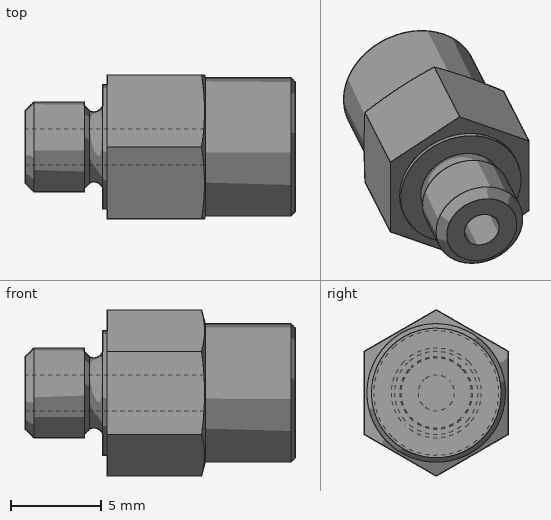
import cadquery as cq
import math

stub_diameter = 5.0
stub_length = 3.28
stub_chamfer = 0.48

undercut_radius = 0.5
undercut_floor_diameter = 3.9
undercut_floor_to_collar = 0.48
undercut_cone_length = 0.3

collar_diameter = 6.93
collar_length = 0.25
hex_start = 4.55
hex_end = 10.0
hex_across_flats = 8.0
hex_chamfer_angle = math.radians(15)

barrel_diameter = 7.7
overall_length = 15.0
barrel_chamfer = 0.25

bore_diameter = 2.0
bore_depth = hex_end

hex_corner_radius = hex_across_flats / math.sqrt(3)
collar_start = hex_start - collar_length


def cylinder_along_x(start, end, diameter):
    return cq.Workplane("YZ", origin=(start, 0, 0)).circle(diameter / 2).extrude(end - start)


def make_stub():
    """Chamfered stub, undercut and collar, revolved about X."""
    stub_radius = stub_diameter / 2
    collar_radius = collar_diameter / 2
    arc_center_x = collar_start - undercut_floor_to_collar
    arc_floor_radius = undercut_floor_diameter / 2
    arc_center_radius = arc_floor_radius + undercut_radius
    arc_start_x = stub_length + undercut_cone_length

    def arc_height(x):
        return arc_center_radius - math.sqrt(undercut_radius**2 - (x - arc_center_x) ** 2)

    arc_start_radius = arc_height(arc_start_x)
    cone_large_radius = arc_start_radius + undercut_cone_length
    return (
        cq.Workplane("XY")
        .moveTo(0, 0)
        .lineTo(0, stub_radius - stub_chamfer)
        .lineTo(stub_chamfer, stub_radius)
        .lineTo(stub_length, stub_radius)
        .lineTo(stub_length, cone_large_radius)
        .lineTo(arc_start_x, arc_start_radius)
        .threePointArc(
            (arc_center_x, arc_floor_radius),
            (collar_start, arc_height(collar_start)),
        )
        .lineTo(collar_start, collar_radius)
        .lineTo(hex_start, collar_radius)
        .lineTo(hex_start, 0)
        .close()
        .revolve(360, (0, 0, 0), (1, 0, 0))
    )


def make_hexagon():
    """Hexagon with corners at +Z and -Z, its rear corners turned to a shallow cone."""
    hex_sides = 6
    corner_step = 2 * math.pi / hex_sides
    corners = [
        (hex_corner_radius * math.sin(i * corner_step), hex_corner_radius * math.cos(i * corner_step))
        for i in range(hex_sides)
    ]
    hex_length = hex_end - hex_start
    prism = cq.Workplane("YZ", origin=(hex_start, 0, 0)).polyline(corners).close().extrude(hex_length)
    barrel_radius = barrel_diameter / 2
    chamfer_length = (hex_corner_radius - barrel_radius) * math.tan(hex_chamfer_angle)
    turned_blank = (
        cq.Workplane("XY")
        .moveTo(hex_start, 0)
        .lineTo(hex_start, hex_corner_radius)
        .lineTo(hex_end - chamfer_length, hex_corner_radius)
        .lineTo(hex_end, barrel_radius)
        .lineTo(hex_end, 0)
        .close()
        .revolve(360, (0, 0, 0), (1, 0, 0))
    )
    return prism.intersect(turned_blank)


def make_barrel():
    barrel = cylinder_along_x(hex_end, overall_length, barrel_diameter)
    return barrel.faces(">X").chamfer(barrel_chamfer)


bore = cylinder_along_x(0, bore_depth, bore_diameter)
result = make_stub().union(make_hexagon()).union(make_barrel()).cut(bore)